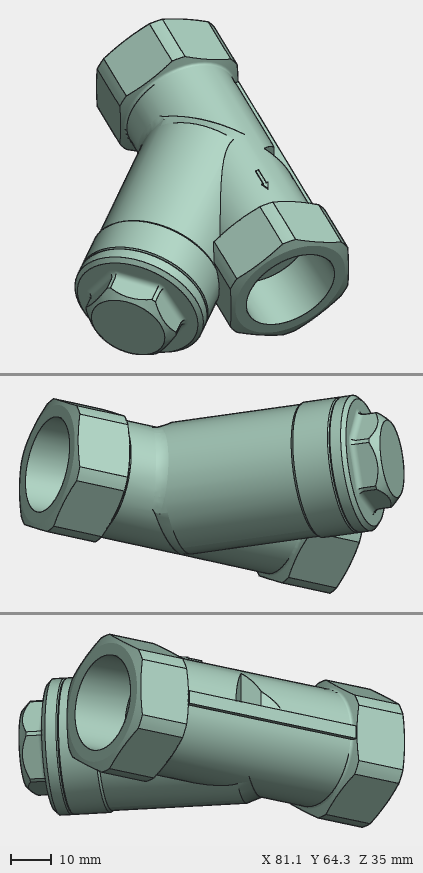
import cadquery as cq
import math

run_length = 80.0
pipe_radius = 14.8
bore_radius = 24.0 / 2
bore_depth = 15.0

hex_across_flats = 31.95
hex_corner_radius = 17.5
hex_face_radius = 14.9
face_bevel_end = 0.8
back_bevel_start = 14.1
root_start = 14.9
root_start_radius = 15.3
root_end = 15.65
root_round = 0.8

branch_x = 32.8
branch_angle = 45
branch_radius = 16.5
branch_start = 1.0
shoulder_end = 4.2
shoulder_lift = 0.1
collar_radius = 33.8 / 2
collar_start = 37.9
collar_step = 0.6
joint_position = 47.8
joint_bevel = 0.3
throat_round = 4.05

flange_end = 51.9
flange_bevel = 1.05
cap_end = 58.7
cap_hex_across_flats = 21.0
cap_hex_corner_radius = 11.85
cap_hex_bevel = 2.2
cap_neck_fillet = 1.55

rib_back = hex_across_flats / 2
rib_height = 3.25
rib_top = rib_height / 2
notch_points = [(35.85, pipe_radius), (41.6, 13.3), (44.8, 9.2), (50.3, pipe_radius)]

arrow_start = 52.9
arrow_neck = 57.4
arrow_tip = 59.3
arrow_y = 3.5
arrow_half_width = 0.4
arrow_head_half_width = 0.9
arrow_top = 14.8


def along_run(shape):
    """Turn a shape built along Z so that it points along the run."""
    return shape.rotate((0, 0, 0), (0, 1, 0), 90)


def along_branch(shape):
    """Turn a shape built along Z so that it points along the branch axis."""
    inclined = along_run(shape).rotate((0, 0, 0), (0, 0, 1), -branch_angle)
    return inclined.translate((branch_x, 0, 0))


def hexagon(across_flats, length):
    """Hexagonal bar along Z with two corners on the X axis."""
    across_corners = across_flats / math.cos(math.radians(30))
    return cq.Workplane("XY").polygon(6, across_corners).extrude(length)


def hex_end():
    """Bevelled hexagon with trimmed corners and a rounded root that meets the pipe."""
    envelope = (
        cq.Workplane("XZ")
        .lineTo(hex_face_radius, 0)
        .lineTo(hex_corner_radius, face_bevel_end)
        .lineTo(hex_corner_radius, back_bevel_start)
        .lineTo(root_start_radius, root_start)
        .radiusArc((pipe_radius, root_end), root_round)
        .lineTo(0, root_end)
        .close()
        .revolve(360, (0, 0, 0), (0, 1, 0))
    )
    return along_run(hexagon(hex_across_flats, root_end).intersect(envelope))


def pipe_run():
    """Solid run: an inlet hexagon, the pipe and a mirrored outlet hexagon."""
    pipe_length = run_length - 2 * back_bevel_start
    pipe = cq.Workplane("XY").workplane(offset=back_bevel_start).circle(pipe_radius).extrude(pipe_length)
    outlet = hex_end().mirror("YZ").translate((run_length, 0, 0))
    return along_run(pipe).union(hex_end()).union(outlet)


def branch_shoulder():
    """Inner end of the branch, widening from the pipe's outline in the end plane to the full circle."""
    half_span = math.sqrt(2 * branch_start**2 + 2 * (branch_radius**2 - pipe_radius**2))
    near = half_span - branch_start
    far = -half_span - branch_start
    near_height = math.sqrt(branch_radius**2 - near**2)
    far_height = math.sqrt(branch_radius**2 - far**2)

    def section(position, crown_height, crown_offset):
        return (
            cq.Workplane("XY")
            .workplane(offset=position)
            .moveTo(near_height, near)
            .threePointArc((0, branch_radius), (-near_height, near))
            .threePointArc((-crown_height, crown_offset), (-far_height, far))
            .threePointArc((0, -branch_radius), (far_height, far))
            .threePointArc((crown_height, crown_offset), (near_height, near))
            .close()
            .val()
        )

    inner = section(branch_start, pipe_radius + shoulder_lift, branch_start)
    outer = section(shoulder_end, branch_radius, 0)
    return cq.Workplane(cq.Solid.makeLoft([inner, outer], True))


def branch():
    """Solid branch with a tapered inner end, a raised collar and a bevelled joint face."""
    tube = (
        cq.Workplane("XZ")
        .moveTo(0, shoulder_end)
        .lineTo(branch_radius, shoulder_end)
        .lineTo(branch_radius, collar_start)
        .lineTo(collar_radius, collar_start + collar_step)
        .lineTo(collar_radius, joint_position - joint_bevel)
        .lineTo(collar_radius - joint_bevel, joint_position)
        .lineTo(0, joint_position)
        .close()
        .revolve(360, (0, 0, 0), (0, 1, 0))
    )
    return along_branch(tube.union(branch_shoulder()))


def round_throat(casting):
    """Round the inner corner where the branch leaves the pipe on the inlet side."""
    corner_x = branch_x + pipe_radius - branch_radius * math.sqrt(2)
    reach = 1.2
    corner_edges = cq.selectors.BoxSelector(
        (corner_x - reach, -pipe_radius - reach, -pipe_radius),
        (corner_x + reach, -pipe_radius * math.sin(math.radians(45)), pipe_radius),
    )
    return casting.edges(corner_edges).fillet(throat_round)


def back_rib():
    """Flat-topped rib between the two hexagons, flush with their back flats."""
    length = run_length - 2 * root_start
    rib = cq.Workplane("XY").box(length, rib_back, rib_height, centered=False)
    return rib.translate((root_start, 0, rib_top - rib_height))


def notch():
    """Vertical-sided notch in the pipe wall, down to the top of the rib."""
    return cq.Workplane("XY").workplane(offset=rib_top).polyline(notch_points).close().extrude(pipe_radius)


def flow_arrow():
    """Flat-topped arrow that points to the outlet."""
    return (
        cq.Workplane("XY")
        .workplane(offset=bore_radius)
        .moveTo(arrow_start, arrow_y - arrow_half_width)
        .lineTo(arrow_neck, arrow_y - arrow_half_width)
        .lineTo(arrow_neck, arrow_y - arrow_head_half_width)
        .lineTo(arrow_tip, arrow_y)
        .lineTo(arrow_neck, arrow_y + arrow_head_half_width)
        .lineTo(arrow_neck, arrow_y + arrow_half_width)
        .lineTo(arrow_start, arrow_y + arrow_half_width)
        .close()
        .extrude(arrow_top - bore_radius)
    )


def make_body():
    casting = round_throat(pipe_run().union(branch()))
    casting = casting.union(back_rib()).cut(notch()).union(flow_arrow())
    bore = along_run(cq.Workplane("XY").circle(bore_radius).extrude(bore_depth))
    for bore_start in (0, run_length - bore_depth):
        casting = casting.cut(bore.translate((bore_start, 0, 0)))
    return casting


def make_cap():
    """Round flange with a bevelled hexagonal head that has a filleted foot."""
    flange = (
        cq.Workplane("XY")
        .workplane(offset=joint_position)
        .circle(collar_radius)
        .extrude(flange_end - joint_position)
        .faces(">Z")
        .chamfer(flange_bevel)
        .faces("<Z")
        .chamfer(joint_bevel)
    )
    head_height = cap_end - flange_end
    envelope = cq.Workplane("XY").circle(cap_hex_corner_radius).extrude(head_height)
    envelope = envelope.faces(">Z").chamfer(cap_hex_bevel)
    head = hexagon(cap_hex_across_flats, head_height).rotate((0, 0, 0), (0, 0, 1), 90).intersect(envelope)
    plug = flange.union(head.translate((0, 0, flange_end)))
    margin = 0.1
    foot_edges = cq.selectors.BoxSelector(
        (-cap_hex_corner_radius - margin, -cap_hex_corner_radius - margin, flange_end - margin),
        (cap_hex_corner_radius + margin, cap_hex_corner_radius + margin, flange_end + margin),
        boundingbox=True,
    )
    return along_branch(plug.edges(foot_edges).fillet(cap_neck_fillet))


body = make_body()
cap = make_cap()
result = cq.Compound.makeCompound([*body.solids().vals(), *cap.solids().vals()])